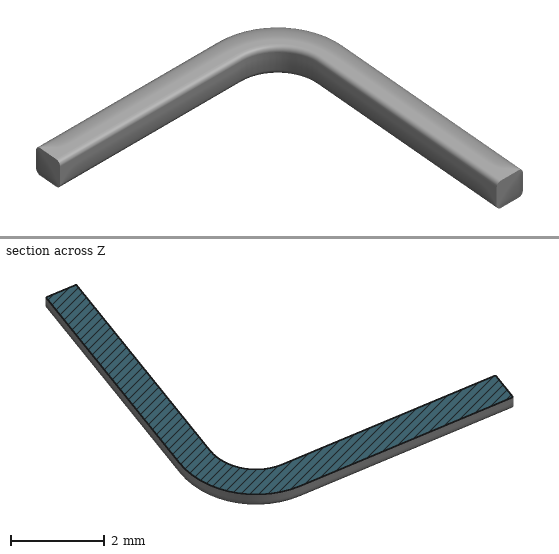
import cadquery as cq

wire_size = 0.762
corner_radius = 0.127
length_x = 7.62
length_y = 7.19
outer_bend_radius = 1.905
bend_angle = 90

center_line = wire_size / 2
center_bend_radius = outer_bend_radius - center_line
leg_x = length_x - outer_bend_radius
leg_y = length_y - outer_bend_radius

free_end = (center_line, -length_y, 0)
bend_start = (center_line, -outer_bend_radius, 0)
bend_end = (outer_bend_radius, -center_line, 0)


def wire_section(origin, x_direction, normal):
    """Square section with rounded corners, centred on a point of the wire axis."""
    plane = cq.Plane(origin=origin, xDir=x_direction, normal=normal)
    section = cq.Sketch().rect(wire_size, wire_size).vertices().fillet(corner_radius)
    return cq.Workplane(plane).placeSketch(section)


def leg_along_y():
    """Straight leg from the free end up +Y to the bend."""
    return wire_section(free_end, (1, 0, 0), (0, 1, 0)).extrude(leg_y)


def quarter_bend():
    """Bend from +Y to +X, turned about a vertical axis on the inner side."""
    axis_start = (center_bend_radius, 0)
    axis_end = (center_bend_radius, 1)
    section = wire_section(bend_start, (1, 0, 0), (0, 1, 0))
    return section.revolve(bend_angle, axis_start, axis_end)


def leg_along_x():
    """Straight leg from the bend out along +X."""
    return wire_section(bend_end, (0, 1, 0), (1, 0, 0)).extrude(leg_x)


result = leg_along_y().union(quarter_bend()).union(leg_along_x())